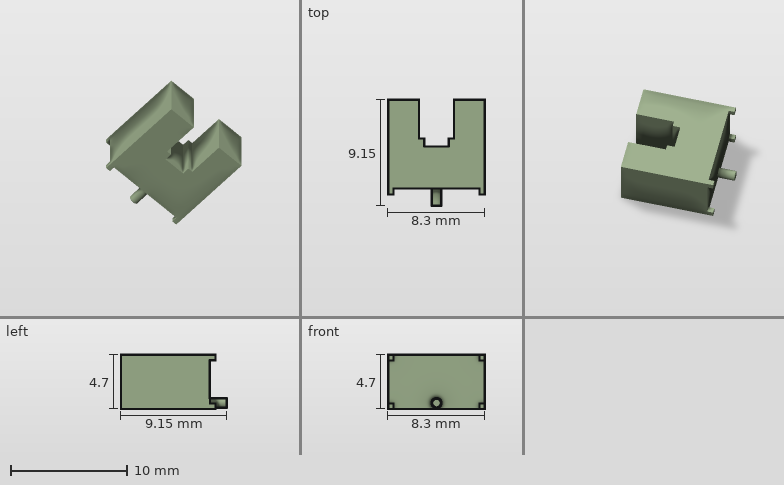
import cadquery as cq

width = 8.3
height = 4.7
total_length = 9.15

pin_diameter = 0.85
pin_length = 1.5
pin_center_height = 0.53
pin_chamfer = 0.05

foot_width = 0.46
foot_height = 0.51
foot_length = 0.51

slot_width = 2.97
slot_depth = 3.34
recess_width = 2.07
recess_depth = 4.01

body_length = total_length - pin_length


def make_body():
    return cq.Workplane("XY").box(width, body_length, height, centered=(True, False, False))


def make_slot(opening, depth):
    """Full-height cutter reaching inward from the back face."""
    return (
        cq.Workplane("XY")
        .box(opening, depth, height, centered=(True, False, False))
        .translate((0, body_length - depth, 0))
    )


def make_feet():
    """Four blocks flush with the outer corners of the front face."""
    return (
        cq.Workplane("XZ", origin=(0, 0, height / 2))
        .rarray(width - foot_width, height - foot_height, 2, 2)
        .rect(foot_width, foot_height)
        .extrude(foot_length)
    )


def make_pin():
    return (
        cq.Workplane("XZ", origin=(0, 0, pin_center_height))
        .circle(pin_diameter / 2)
        .extrude(pin_length)
        .faces("<Y")
        .chamfer(pin_chamfer)
    )


result = (
    make_body()
    .cut(make_slot(slot_width, slot_depth))
    .cut(make_slot(recess_width, recess_depth))
    .union(make_feet())
    .union(make_pin())
)